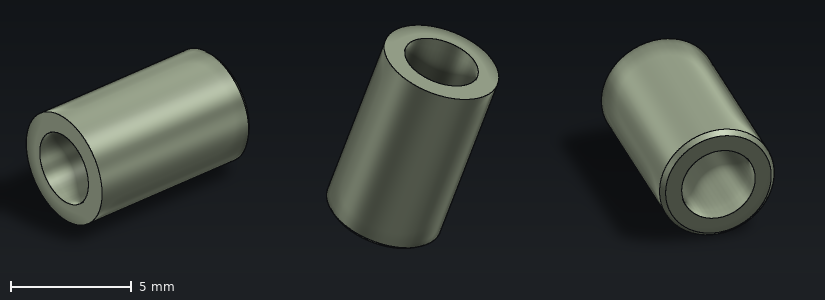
import cadquery as cq

length = 8
outer_diameter = 5.0
bore_diameter = 3.2
rim_chamfer = 0.2

sleeve = (
    cq.Workplane("XZ")
    .circle(outer_diameter / 2)
    .extrude(-length)
    .faces(">Y")
    .chamfer(rim_chamfer)
)

bore = cq.Workplane("XZ").circle(bore_diameter / 2).extrude(-length)

result = sleeve.cut(bore)